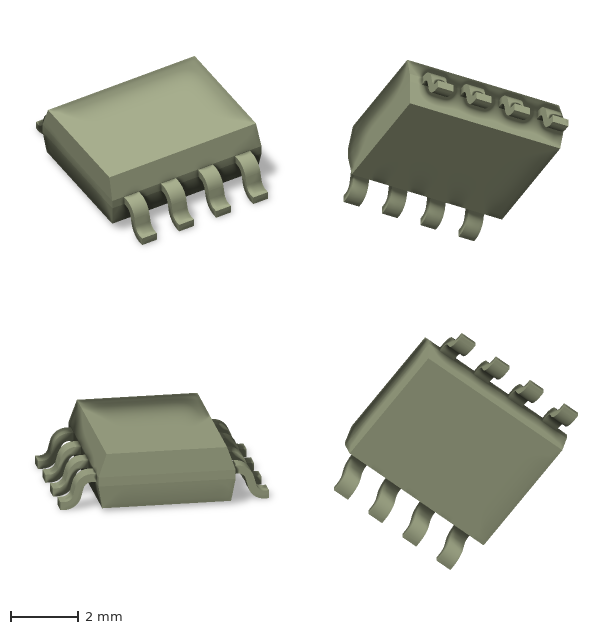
import cadquery as cq
import math

SPAN_X = 6.3
TOP_Z = 1.81

BAND_SIZE = (4.145, 5.13)
TOP_SIZE = (3.64, 5.04)
BOTTOM_SIZE = (3.895, 4.99)
STANDOFF = 0.1
BAND_HEIGHT = 0.285
HALF_HEIGHT = (TOP_Z - STANDOFF - BAND_HEIGHT) / 2
BAND_BOTTOM_Z = STANDOFF + HALF_HEIGHT
BAND_TOP_Z = BAND_BOTTOM_Z + BAND_HEIGHT

LEADS_PER_SIDE = 4
LEAD_PITCH = 1.27
LEAD_WIDTH = 0.51
LEAD_THICKNESS = 0.25
INNER_RADIUS = 0.25
OUTER_RADIUS = INNER_RADIUS + LEAD_THICKNESS
BEND_ANGLE = 75.0
SHOULDER_LENGTH = 0.14
SHOULDER_BOTTOM_Z = BAND_BOTTOM_Z + (BAND_HEIGHT - LEAD_THICKNESS) / 2
FIRST_LEAD_Y = (LEADS_PER_SIDE - 1) / 2 * LEAD_PITCH

DOT_DIAMETER = 0.21
DOT_DEPTH = 0.06
DOT_X = -1.35


def tapered_block(lower_size, lower_z, upper_size, upper_z):
    """Block with flat sides running from one rectangle to another above it."""
    return (
        cq.Workplane("XY")
        .workplane(offset=lower_z)
        .rect(*lower_size)
        .workplane(offset=upper_z - lower_z)
        .rect(*upper_size)
        .loft(ruled=True, combine=True)
    )


def make_dot():
    return (
        cq.Workplane("XY")
        .workplane(offset=TOP_Z - DOT_DEPTH)
        .center(DOT_X, FIRST_LEAD_Y)
        .circle(DOT_DIAMETER / 2)
        .extrude(DOT_DEPTH)
    )


def make_housing():
    lower_half = tapered_block(BOTTOM_SIZE, STANDOFF, BAND_SIZE, BAND_BOTTOM_Z)
    band = tapered_block(BAND_SIZE, BAND_BOTTOM_Z, BAND_SIZE, BAND_TOP_Z)
    upper_half = tapered_block(BAND_SIZE, BAND_TOP_Z, TOP_SIZE, TOP_Z)
    return lower_half.union(band).union(upper_half).cut(make_dot())


def bend_point(center, radius, angle):
    """Point on a bend, at an angle in degrees counterclockwise from +X."""
    turn = math.radians(angle)
    return (center[0] + radius * math.cos(turn), center[1] + radius * math.sin(turn))


def make_lead(y):
    """One lead on the +X side, centred on the given Y."""
    housing_x = BAND_SIZE[0] / 2
    tip_x = SPAN_X / 2

    bend_radii = INNER_RADIUS + OUTER_RADIUS
    slope = math.radians(BEND_ANGLE)
    leg_drop = SHOULDER_BOTTOM_Z - bend_radii * (1 - math.cos(slope))
    bend_run = bend_radii * math.sin(slope) + leg_drop / math.tan(slope)

    upper = (housing_x + SHOULDER_LENGTH, SHOULDER_BOTTOM_Z - INNER_RADIUS)
    lower = (upper[0] + bend_run, OUTER_RADIUS)
    upper_start, upper_end = 90, 90 - BEND_ANGLE
    upper_middle = (upper_start + upper_end) / 2
    lower_start, lower_end = upper_end - 180, -90
    lower_middle = (lower_start + lower_end) / 2

    return (
        cq.Workplane("XZ", origin=(0, y + LEAD_WIDTH / 2, 0))
        .moveTo(housing_x, SHOULDER_BOTTOM_Z + LEAD_THICKNESS)
        .lineTo(*bend_point(upper, OUTER_RADIUS, upper_start))
        .threePointArc(
            bend_point(upper, OUTER_RADIUS, upper_middle),
            bend_point(upper, OUTER_RADIUS, upper_end),
        )
        .lineTo(*bend_point(lower, INNER_RADIUS, lower_start))
        .threePointArc(
            bend_point(lower, INNER_RADIUS, lower_middle),
            bend_point(lower, INNER_RADIUS, lower_end),
        )
        .lineTo(tip_x, LEAD_THICKNESS)
        .lineTo(tip_x, 0)
        .lineTo(*bend_point(lower, OUTER_RADIUS, lower_end))
        .threePointArc(
            bend_point(lower, OUTER_RADIUS, lower_middle),
            bend_point(lower, OUTER_RADIUS, lower_start),
        )
        .lineTo(*bend_point(upper, INNER_RADIUS, upper_end))
        .threePointArc(
            bend_point(upper, INNER_RADIUS, upper_middle),
            bend_point(upper, INNER_RADIUS, upper_start),
        )
        .lineTo(housing_x, SHOULDER_BOTTOM_Z)
        .close()
        .extrude(LEAD_WIDTH)
    )


housing = make_housing()
dot = make_dot()

leads = []
for index in range(LEADS_PER_SIDE):
    right_lead = make_lead(FIRST_LEAD_Y - index * LEAD_PITCH)
    left_lead = right_lead.mirror("YZ")
    leads.append(right_lead.solids().val())
    leads.append(left_lead.solids().val())

result = cq.Compound.makeCompound([housing.solids().val(), dot.val(), *leads])